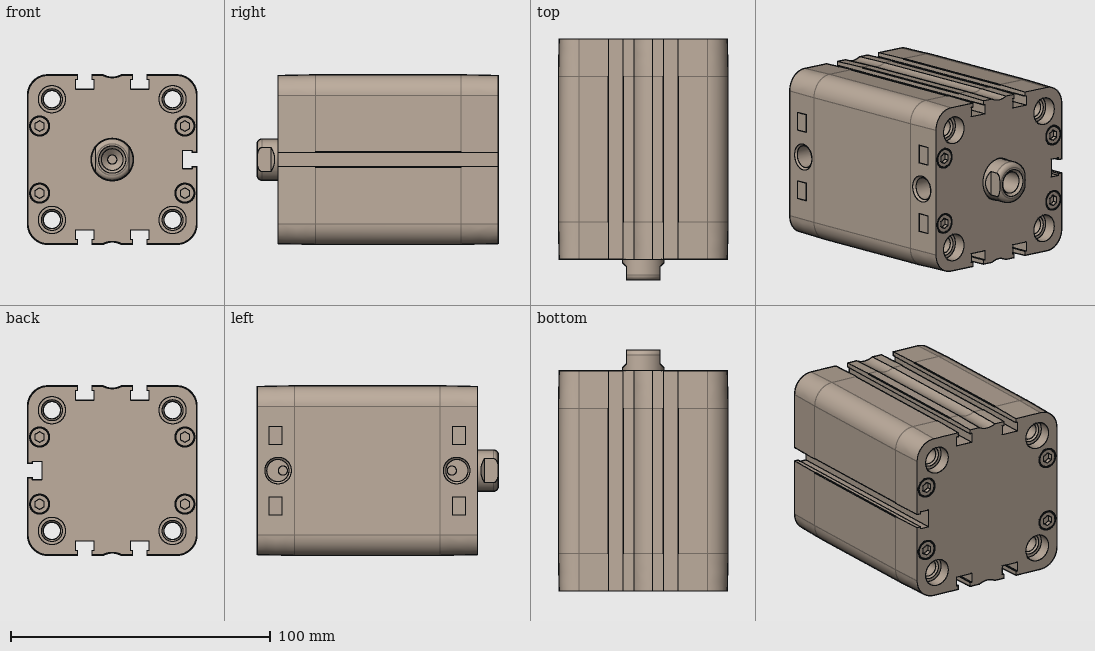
import cadquery as cq
import math


HOUSING_LENGTH = 85.0
HOUSING_SIZE = 65.5
CORNER_RADIUS = 8.0
CAP_LENGTH = 14.5
CAP_DRAFT = 1.2
TUBE_LENGTH = HOUSING_LENGTH - 2 * CAP_LENGTH
HALF_SIZE = HOUSING_SIZE / 2

GROOVE_HALF_WIDTH = 3.5
GROOVE_DEPTH = 0.9

SLOT_MOUTH = 5.5
SLOT_WIDTH = 7.0
SLOT_LIP = 1.95
SLOT_DEPTH = 5.6
SLOT_OFFSET = 10.6
MOUTH_CHAMFER = 0.3

MOUNT_OFFSET = 23.25
MOUNT_DIAMETER = 6.6
MOUNT_CHAMFER_DIAMETER = 8.1
MOUNT_COUNTERBORE_DIAMETER = 10.5
MOUNT_COUNTERBORE_DEPTH = 5.0

SCREW_X = 28.0
SCREW_Z = 12.9
SCREW_RECESS_DIAMETER = 7.7
SCREW_HEAD_DIAMETER = 7.0
SCREW_GAP_DEPTH = 0.9
HEX_FLATS = 3.5
HEX_DEPTH = 1.9

PORT_INSET = 8.0
PORT_DIAMETER = 8.6
PORT_CHAMFER_DIAMETER = 10.5
PORT_DEPTH = 8.0
PASSAGE_DIAMETER = 3.5
PASSAGE_SHIFT = 1.95
PASSAGE_DEPTH = 5.0

LABEL_INSET = 7.2
LABEL_OFFSET = 13.6
LABEL_LENGTH = 5.0
LABEL_HEIGHT = 7.0
LABEL_DEPTH = 0.2

ROD_DIAMETER = 16.0
ROD_PROTRUSION = 8.0
ROD_INSERTION = CAP_LENGTH
ROD_TIP_FILLET = 1.95
ROD_FLATS = 13.0
ROD_FLAT_LENGTH = 5.3
ROD_THREAD_DIAMETER = 8.4
ROD_THREAD_CHAMFER_DIAMETER = 10.5
ROD_THREAD_DEPTH = 11.2
ROD_CENTER_DIAMETER = 3.5
WIPER_DIAMETER = 16.5
WIPER_DEPTH = 0.9


def xz_plane(y):
    """Work plane across the axis at the given Y, with its normal toward +Y."""
    return cq.Workplane(cq.Plane((0, y, 0), (-1, 0, 0), (0, 1, 0)))


def cylinder(diameter, y_start, length, x=0, z=0):
    """Cylinder along Y."""
    solid = cq.Solid.makeCylinder(diameter / 2, length, cq.Vector(x, y_start, z), cq.Vector(0, 1, 0))
    return cq.Workplane(solid)


def cone(start_diameter, end_diameter, start, direction, length):
    """Cone frustum from a start point along a direction."""
    solid = cq.Solid.makeCone(
        start_diameter / 2, end_diameter / 2, length, cq.Vector(*start), cq.Vector(*direction)
    )
    return cq.Workplane(solid)


def housing_outline(y):
    """Rounded square with the two shallow grooves, as a closed wire at the given Y."""
    flat = HALF_SIZE - CORNER_RADIUS
    bend = HALF_SIZE - CORNER_RADIUS * (1 - math.sqrt(0.5))
    groove_bottom = HALF_SIZE - GROOVE_DEPTH
    return (
        xz_plane(y)
        .moveTo(-flat, HALF_SIZE)
        .lineTo(-GROOVE_HALF_WIDTH, HALF_SIZE)
        .threePointArc((0, groove_bottom), (GROOVE_HALF_WIDTH, HALF_SIZE))
        .lineTo(flat, HALF_SIZE)
        .threePointArc((bend, bend), (HALF_SIZE, flat))
        .lineTo(HALF_SIZE, -flat)
        .threePointArc((bend, -bend), (flat, -HALF_SIZE))
        .lineTo(GROOVE_HALF_WIDTH, -HALF_SIZE)
        .threePointArc((0, -groove_bottom), (-GROOVE_HALF_WIDTH, -HALF_SIZE))
        .lineTo(-flat, -HALF_SIZE)
        .threePointArc((-bend, -bend), (-HALF_SIZE, -flat))
        .lineTo(-HALF_SIZE, flat)
        .threePointArc((-bend, bend), (-flat, HALF_SIZE))
        .close()
    )


def housing_blank():
    """Straight tube between two caps that taper toward their end faces."""
    tube = housing_outline(CAP_LENGTH).extrude(TUBE_LENGTH)
    rear_cap = housing_outline(CAP_LENGTH + TUBE_LENGTH).extrude(CAP_LENGTH, taper=CAP_DRAFT)
    front_cap = rear_cap.mirror("XZ", (0, HOUSING_LENGTH / 2, 0))
    return tube.union(rear_cap).union(front_cap)


def slot_cutter(offset, turn):
    """T-slot along the whole housing, open to the top, then turned about the Y axis."""
    mouth = SLOT_MOUTH / 2
    half = SLOT_WIDTH / 2
    lip_z = HALF_SIZE - SLOT_LIP
    floor_z = HALF_SIZE - SLOT_DEPTH
    slot = (
        xz_plane(0)
        .polyline([
            (-mouth, HALF_SIZE), (-mouth, lip_z), (-half, lip_z), (-half, floor_z),
            (half, floor_z), (half, lip_z), (mouth, lip_z), (mouth, HALF_SIZE),
        ])
        .close()
        .extrude(HOUSING_LENGTH)
    )
    tube_mouth = (
        xz_plane(CAP_LENGTH)
        .polyline([
            (-mouth - MOUTH_CHAMFER, HALF_SIZE), (-mouth, HALF_SIZE - MOUTH_CHAMFER),
            (mouth, HALF_SIZE - MOUTH_CHAMFER), (mouth + MOUTH_CHAMFER, HALF_SIZE),
        ])
        .close()
        .extrude(TUBE_LENGTH)
    )
    cutter = slot.union(tube_mouth).translate((offset, 0, 0))
    return cutter.rotate((0, 0, 0), (0, 1, 0), turn)


def mount_cutter(x, z):
    """Front half of a mounting hole: counterbore, chamfer and through hole."""
    chamfer = (MOUNT_CHAMFER_DIAMETER - MOUNT_DIAMETER) / 2
    return (
        cylinder(MOUNT_DIAMETER, 0, HOUSING_LENGTH / 2, x, z)
        .union(cylinder(MOUNT_COUNTERBORE_DIAMETER, 0, MOUNT_COUNTERBORE_DEPTH, x, z))
        .union(cone(
            MOUNT_CHAMFER_DIAMETER, MOUNT_DIAMETER, (x, MOUNT_COUNTERBORE_DEPTH, z), (0, 1, 0), chamfer
        ))
    )


def screw_cutter(x, z):
    """Ring-shaped gap around a screw head, and the hexagon socket in it."""
    gap = cylinder(SCREW_RECESS_DIAMETER, 0, SCREW_GAP_DEPTH, x, z).cut(
        cylinder(SCREW_HEAD_DIAMETER, 0, SCREW_GAP_DEPTH, x, z)
    )
    across_corners = HEX_FLATS / math.cos(math.radians(30))
    socket = (
        xz_plane(0)
        .transformed(rotate=(0, 0, 90))
        .polygon(6, across_corners)
        .extrude(HEX_DEPTH)
        .translate((x, 0, z))
    )
    return gap.union(socket)


def port_cutter():
    """Chamfered air port in the front cap with the small passage in its floor."""
    chamfer = (PORT_CHAMFER_DIAMETER - PORT_DIAMETER) / 2
    inward = cq.Vector(1, 0, 0)
    mouth = cq.Vector(-HALF_SIZE, PORT_INSET, 0)
    floor = cq.Vector(-HALF_SIZE + PORT_DEPTH, PORT_INSET + PASSAGE_SHIFT, 0)
    bore = cq.Solid.makeCylinder(PORT_DIAMETER / 2, PORT_DEPTH, mouth, inward)
    passage = cq.Solid.makeCylinder(PASSAGE_DIAMETER / 2, PASSAGE_DEPTH, floor, inward)
    rim = cone(PORT_CHAMFER_DIAMETER, PORT_DIAMETER, mouth.toTuple(), inward.toTuple(), chamfer)
    return rim.union(cq.Workplane(bore)).union(cq.Workplane(passage))


def label_cutter(z):
    """Shallow label recess in the drafted -X side of the front cap."""
    recess = cq.Workplane("XY").box(2 * LABEL_DEPTH, LABEL_LENGTH, LABEL_HEIGHT)
    draft_inset = (CAP_LENGTH - LABEL_INSET) * math.tan(math.radians(CAP_DRAFT))
    return (
        recess.rotate((0, 0, 0), (0, 0, 1), -CAP_DRAFT)
        .translate((draft_inset - HALF_SIZE, LABEL_INSET, z))
    )


def front_cap_cutters():
    """Everything that is cut into the front cap and repeated in the rear cap."""
    cutters = [port_cutter()]
    for side_z in (-1, 1):
        cutters.append(label_cutter(side_z * LABEL_OFFSET))
        for side_x in (-1, 1):
            cutters.append(mount_cutter(side_x * MOUNT_OFFSET, side_z * MOUNT_OFFSET))
            cutters.append(screw_cutter(side_x * SCREW_X, side_z * SCREW_Z))
    return cutters


def rod_hole_cutter():
    """Blind hole that holds the rod, with a slightly wider mouth."""
    return cylinder(ROD_DIAMETER, 0, ROD_INSERTION).union(cylinder(WIPER_DIAMETER, 0, WIPER_DEPTH))


def make_housing():
    body = housing_blank()
    slots = [(-SLOT_OFFSET, 0), (SLOT_OFFSET, 0), (0, 90), (-SLOT_OFFSET, 180), (SLOT_OFFSET, 180)]
    for offset, turn in slots:
        body = body.cut(slot_cutter(offset, turn))
    for cutter in front_cap_cutters():
        body = body.cut(cutter)
        body = body.cut(cutter.mirror("XZ", (0, HOUSING_LENGTH / 2, 0)))
    return body.cut(rod_hole_cutter())


def flat_cutter():
    """Wrench flat on the +X side of the rod, ending in a 45 degree run-out."""
    flat_x = ROD_FLATS / 2
    rise = ROD_DIAMETER / 2 - flat_x
    flat_end = ROD_FLAT_LENGTH - ROD_PROTRUSION
    return (
        cq.Workplane("XY")
        .polyline([
            (flat_x, -ROD_PROTRUSION), (flat_x, flat_end),
            (flat_x + rise, flat_end + rise), (flat_x + rise, -ROD_PROTRUSION),
        ])
        .close()
        .extrude(ROD_DIAMETER / 2, both=True)
    )


def thread_hole_cutter():
    """Chamfered blind hole in the rod tip with a conical bottom and a small centre flat."""
    chamfer = (ROD_THREAD_CHAMFER_DIAMETER - ROD_THREAD_DIAMETER) / 2
    bottom_cone = (ROD_THREAD_DIAMETER - ROD_CENTER_DIAMETER) / 2
    tip = -ROD_PROTRUSION
    return (
        cylinder(ROD_THREAD_DIAMETER, tip, ROD_THREAD_DEPTH)
        .union(cone(ROD_THREAD_CHAMFER_DIAMETER, ROD_THREAD_DIAMETER, (0, tip, 0), (0, 1, 0), chamfer))
        .union(cone(
            ROD_THREAD_DIAMETER, ROD_CENTER_DIAMETER, (0, tip + ROD_THREAD_DEPTH, 0), (0, 1, 0), bottom_cone
        ))
    )


def make_rod():
    rod = cylinder(ROD_DIAMETER, -ROD_PROTRUSION, ROD_PROTRUSION + ROD_INSERTION)
    rod = rod.faces("<Y").edges().fillet(ROD_TIP_FILLET)
    for turn in (0, 180):
        rod = rod.cut(flat_cutter().rotate((0, 0, 0), (0, 1, 0), turn))
    return rod.cut(thread_hole_cutter())


housing = make_housing()
piston_rod = make_rod()
result = cq.Compound.makeCompound([housing.val(), piston_rod.val()])